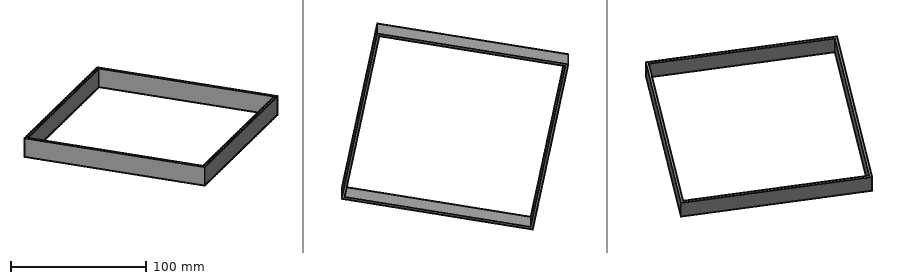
import cadquery as cq

side = 144.0
height = 15.0
wall = 2.0
opening = side - 2 * wall

outer_block = cq.Workplane("XY").box(side, side, height)
through_opening = cq.Workplane("XY").box(opening, opening, height)

result = outer_block.cut(through_opening)